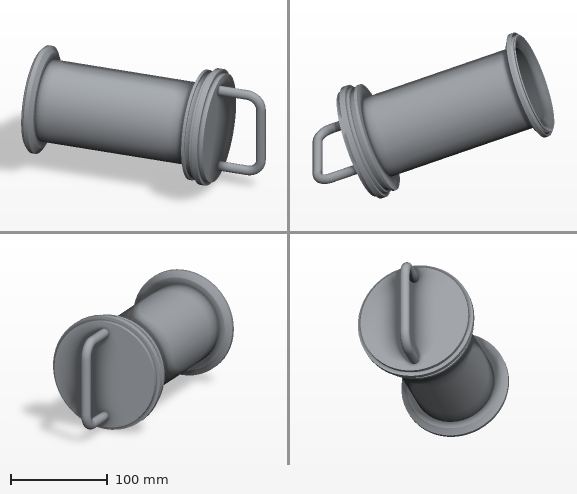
import cadquery as cq

lip_crest_x = 0.9
lip_back_x = 2.3
flange_front_x = 3.2
flange_bevel_end_x = 3.9
groove_root_x = 4.9
flange_back_x = 8.3
tube_start_x = 12.0
throat_start_x = 6.7
throat_end_x = 10.0
head_start_x = 175.0

flange_radius = 113 / 2
mouth_radius = 52.3
lip_crest_radius = 53.4
lip_back_radius = 52.0
groove_root_radius = 53.9
flange_nose_radius = 56.0
taper_back_radius = 50.0

tube_radius = 86 / 2
bore_radius = 83 / 2
throat_radius = 81 / 2

head_discs = [
    (3.0, 115.5 / 2),
    (5.5, 109.7 / 2),
    (3.5, 115.5 / 2),
    (6.0, 122 / 2),
    (5.0, 114 / 2),
]
head_end_x = head_start_x + sum(thickness for thickness, _ in head_discs)

overall_length = 248.0
handle_diameter = 10.0
handle_half_span = 45.0
handle_bend_radius = 15.0


def make_sleeve():
    """Tube with a conical mouth and a grooved clamp flange, revolved about X."""
    profile = [
        (0, mouth_radius),
        (lip_crest_x, lip_crest_radius),
        (lip_back_x, lip_back_radius),
        (groove_root_x, groove_root_radius),
        (flange_front_x, flange_nose_radius),
        (flange_bevel_end_x, flange_radius),
        (flange_back_x, flange_radius),
        (tube_start_x, taper_back_radius),
        (tube_start_x, tube_radius),
        (head_start_x, tube_radius),
        (head_start_x, bore_radius),
        (throat_end_x, bore_radius),
        (throat_end_x, throat_radius),
        (throat_start_x, throat_radius),
    ]
    return cq.Workplane("XY").polyline(profile).close().revolve(360, (0, 0, 0), (1, 0, 0))


def make_head():
    """Stack of coaxial discs closing the far end of the tube."""
    discs = cq.Workplane("YZ")
    start_x = head_start_x
    for thickness, radius in head_discs:
        disc = cq.Workplane("YZ", origin=(start_x, 0, 0)).circle(radius).extrude(thickness)
        discs = discs.add(disc)
        start_x += thickness
    return discs.combine()


def make_handle():
    """Round rod bent into a U in the XZ plane, both ends on the head."""
    grip_x = overall_length - handle_diameter / 2
    bend_start_x = grip_x - handle_bend_radius
    bend_end_z = handle_half_span - handle_bend_radius
    path = (
        cq.Workplane("XZ")
        .moveTo(head_end_x, handle_half_span)
        .lineTo(bend_start_x, handle_half_span)
        .tangentArcPoint((grip_x, bend_end_z), relative=False)
        .lineTo(grip_x, -bend_end_z)
        .tangentArcPoint((bend_start_x, -handle_half_span), relative=False)
        .lineTo(head_end_x, -handle_half_span)
    )
    rod_end = cq.Workplane("YZ", origin=(head_end_x, 0, handle_half_span))
    return rod_end.circle(handle_diameter / 2).sweep(path)


result = make_sleeve().union(make_head()).union(make_handle())